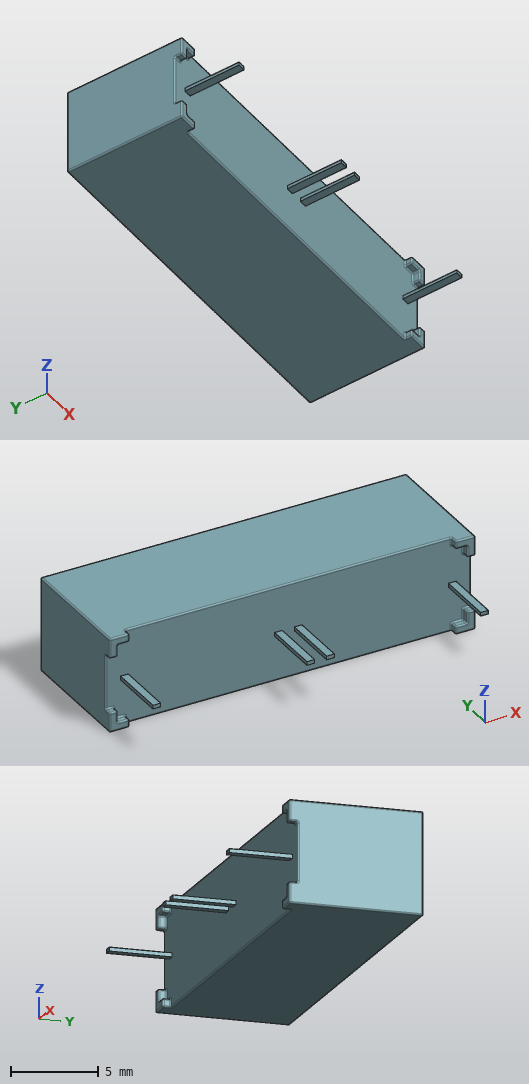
import cadquery as cq

length = 24.1
height = 6.22
case_depth = 8.12
pin_reach = 3.3
standoff = 0.5
edge_radius = 0.101

foot_arm = 1.3
foot_wall = 0.53

pin_width = 0.5
pin_thickness = 0.25
outer_pin_x = 10.8
inner_pin_x = 0.65
pin_embed = 0.25

feet_y = 0.0
floor_y = feet_y + standoff
back_y = feet_y + case_depth
pin_tip_y = feet_y - pin_reach


def block(x_range, y_range, z_range):
    """Axis-aligned box spanning the given ranges."""
    ranges = (x_range, y_range, z_range)
    sizes = [high - low for low, high in ranges]
    corner = cq.Vector(*[low for low, high in ranges])
    return cq.Workplane("XY").box(*sizes, centered=False).translate(corner)


def corner_foot():
    """L-shaped foot at the -X, -Z corner, reaching from the floor to the feet plane."""
    left = -length / 2
    bottom = -height / 2
    foot_span = (feet_y, floor_y)
    along_x = block((left, left + foot_arm), foot_span, (bottom, bottom + foot_wall))
    along_z = block((left, left + foot_wall), foot_span, (bottom, bottom + foot_arm))
    return along_x.union(along_z)


def case():
    """Closed case with four corner feet and every edge rounded."""
    body = block((-length / 2, length / 2), (floor_y, back_y), (-height / 2, height / 2))
    foot = corner_foot()
    bottom_feet = foot.union(foot.mirror("YZ"))
    feet = bottom_feet.union(bottom_feet.mirror("XY"))
    return body.union(feet).clean().edges().fillet(edge_radius)


def pin(center_x):
    """Straight flat pin, rooted a little way inside the floor."""
    return block(
        (center_x - pin_width / 2, center_x + pin_width / 2),
        (pin_tip_y, floor_y + pin_embed),
        (-pin_thickness / 2, pin_thickness / 2),
    )


result = case()
for pin_x in (-outer_pin_x, -inner_pin_x, inner_pin_x, outer_pin_x):
    result = result.union(pin(pin_x))